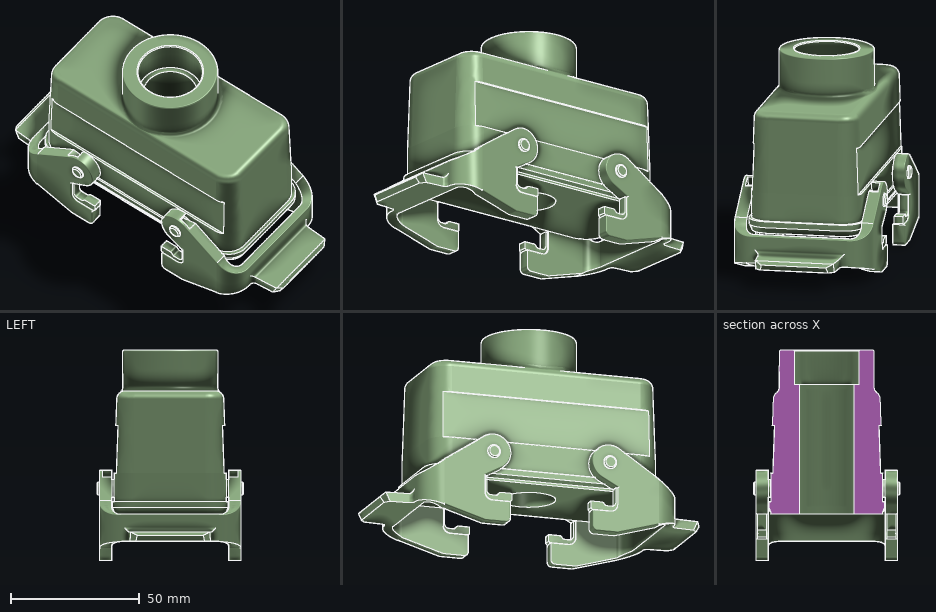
import cadquery as cq
import math

TOLERANCE = 0.07

BASE_Z = 18.0
FLANGE_EDGE_Z = 20.5
FLANGE_TOP_Z = 22.9
DRAFT_START_Z = 33.9
ROOF_Z = 65.8
NECK_TOP_Z = 81.7

BODY_LENGTH = 93.6
BODY_WIDTH = 43.6
CORNER_RADIUS = 8.1
DRAFT_ANGLE = 2.0
ROOF_FILLET = 3.3

FLANGE_LENGTH = 96.1
FLANGE_WIDTH = 45.0
FLANGE_BEVEL = 1.2

PANEL_TOP_Z = 52.4
PANEL_TOP_Y = 20.3

NECK_DIAMETER = 37.0
NECK_EDGE_FILLET = 0.7
NECK_ROOT_FILLET = 2.0
BORE_DIAMETER = 21.0
COUNTERBORE_DIAMETER = 25.0
COUNTERBORE_DEPTH = 13.4
COUNTERBORE_CHAMFER = 0.4

PIVOT_X = 23.8
PIVOT_Z = 28.0
PIN_DIAMETER = 5.1
PIN_CHAMFER = 0.5
PIN_END_Y = 28.47
PIN_BOSS_DIAMETER = 7.0

ARM_OUTER_Y = 27.5
ARM_INNER_Y = 22.6
BAR_OUTER_X = -53.0
BAR_INNER_X = -49.5
BAR_BOTTOM_Z = 7.5
BAR_TOP_Z = 18.0
BEND_RADIUS = 9.0
BEND_X = BAR_OUTER_X + BEND_RADIUS
BEND_Y = ARM_OUTER_Y - BEND_RADIUS
SLOPE_START = (-50.5, 19.0)
LOBE_RADIUS = 7.1
LEVER_EDGE_FILLET = 0.4

HOOK_TIP_X = -16.9
HOOK_HEEL_X = -27.2
HOOK_TOE_RADIUS = 1.8
HOOK_FLOOR_Z = 8.5
THROAT_X = -27.2
THROAT_TOP_Z = 18.2
THROAT_RADIUS = 3.0

RIB_INSET = 0.7
RIB_WALL_X = -26.5
RIB_SADDLE_Z = 10.6
RIB_SADDLE_START_X = -24.7
RIB_SADDLE_END_X = -22.8
RIB_NOSE_START_X = -20.7
RIB_NOSE_TIP_X = -16.2
RIB_NOSE_TOP_Z = 11.9
RIB_NOSE_BOTTOM_Z = 9.2

NOTCH_START_X = -29.8
NOTCH_END_X = -25.1
NOTCH_START_Z = 32.5
NOTCH_ROOT_X = -23.8
NOTCH_ROOT_Z = 31.4
NOTCH_OUTER_Y = 26.2

GRIP_END_X = -65.5
GRIP_TOP_Z = 11.1
GRIP_NOSE_Z = 9.8
GRIP_BEVEL = 1.5
GRIP_ROOT_HALF_WIDTH = 16.2
GRIP_END_HALF_WIDTH = 15.3
GRIP_ROOT_FILLET = 1.8
GRIP_CORNER_LENGTH = 3.0
GRIP_CORNER_WIDTH = 2.0


def rounded_block(length, width, radius, bottom_z, height, taper=0.0):
    """Upright block with rounded corners, leaning inwards by the taper angle."""
    outline = cq.Sketch().rect(length, width).vertices().fillet(radius)
    return cq.Workplane("XY", origin=(0, 0, bottom_z)).placeSketch(outline).extrude(height, taper=taper)


def hood_flange():
    """Flange around the foot of the hood, its lower part leaning inwards."""
    band = rounded_block(
        FLANGE_LENGTH, FLANGE_WIDTH, CORNER_RADIUS, FLANGE_EDGE_Z, FLANGE_TOP_Z - FLANGE_EDGE_Z
    )
    skirt_height = FLANGE_EDGE_Z - BASE_Z
    skirt_angle = math.degrees(math.atan2(FLANGE_BEVEL, skirt_height))
    skirt = rounded_block(
        FLANGE_LENGTH, FLANGE_WIDTH, CORNER_RADIUS, FLANGE_EDGE_Z, -skirt_height, skirt_angle
    )
    return band.union(skirt)


def hood_shell():
    """Hood walls and roof, with a rounded roof edge."""
    walls = rounded_block(BODY_LENGTH, BODY_WIDTH, CORNER_RADIUS, BASE_Z, DRAFT_START_Z - BASE_Z)
    upper = rounded_block(
        BODY_LENGTH, BODY_WIDTH, CORNER_RADIUS, DRAFT_START_Z, ROOF_Z - DRAFT_START_Z, DRAFT_ANGLE
    )
    upper = upper.faces(">Z").edges().fillet(ROOF_FILLET)
    return walls.union(upper)


def neck():
    """Round neck, rooted inside the hood."""
    root_z = ROOF_Z - 2 * ROOF_FILLET
    post = cq.Workplane("XY", origin=(0, 0, root_z)).circle(NECK_DIAMETER / 2).extrude(NECK_TOP_Z - root_z)
    return post.faces(">Z").edges().fillet(NECK_EDGE_FILLET)


def neck_bore():
    """Through bore with a wider, lightly chamfered mouth."""
    bore = cq.Workplane("XY").circle(BORE_DIAMETER / 2).extrude(NECK_TOP_Z)
    mouth = cq.Workplane("XY", origin=(0, 0, NECK_TOP_Z)).circle(COUNTERBORE_DIAMETER / 2)
    mouth = mouth.extrude(-COUNTERBORE_DEPTH)
    flare = cq.Workplane("XY", origin=(0, 0, NECK_TOP_Z)).circle(COUNTERBORE_DIAMETER / 2 + COUNTERBORE_CHAMFER)
    flare = flare.extrude(-COUNTERBORE_CHAMFER, taper=45)
    return bore.union(mouth).union(flare)


def panel_cutter(side):
    """Block that cuts one long side of the hood back to a flat panel, drafted like the walls."""
    height = PANEL_TOP_Z - DRAFT_START_Z
    panel_bottom_y = PANEL_TOP_Y + height * math.tan(math.radians(DRAFT_ANGLE))
    cutter = (
        cq.Workplane("YZ")
        .polyline(
            [
                (panel_bottom_y, DRAFT_START_Z),
                (BODY_WIDTH, DRAFT_START_Z),
                (BODY_WIDTH, PANEL_TOP_Z),
                (PANEL_TOP_Y, PANEL_TOP_Z),
            ]
        )
        .close()
        .extrude(BODY_LENGTH / 2, both=True)
    )
    return cutter if side > 0 else cutter.mirror("XZ")


def trunnion(pivot_x, side):
    """Chamfered pin on a round boss, standing out of one long side of the hood."""
    root_y = PANEL_TOP_Y
    pin = cq.Workplane("XZ").circle(PIN_DIAMETER / 2).extrude(-(PIN_END_Y - root_y))
    pin = pin.faces(">Y").chamfer(PIN_CHAMFER)
    boss = cq.Workplane("XZ").circle(PIN_BOSS_DIAMETER / 2).extrude(-(ARM_INNER_Y - root_y))
    placed = pin.union(boss).translate((pivot_x, root_y, PIVOT_Z))
    return placed if side > 0 else placed.mirror("XZ")


def make_housing():
    """Hood with its flange, bored neck, side panels and four trunnion pins."""
    housing = hood_shell().union(hood_flange()).union(neck())
    reach = NECK_DIAMETER / 2 + TOLERANCE
    neck_root = cq.selectors.BoxSelector(
        (-reach, -reach, ROOF_Z - ROOF_FILLET), (reach, reach, ROOF_Z + TOLERANCE), boundingbox=True
    )
    housing = housing.edges(neck_root).fillet(NECK_ROOT_FILLET)
    housing = housing.cut(neck_bore())
    for side in (-1, 1):
        housing = housing.cut(panel_cutter(side))
        for pivot_x in (-PIVOT_X, PIVOT_X):
            housing = housing.union(trunnion(pivot_x, side))
    return housing


def lobe_tangent(point, turn):
    """Point where a line from `point` touches the lobe; turn is +1 for its upper side, -1 for its lower."""
    run = -PIVOT_X - point[0]
    rise = PIVOT_Z - point[1]
    distance = math.hypot(run, rise)
    reach = math.sqrt(distance**2 - LOBE_RADIUS**2)
    angle = math.atan2(rise, run) + turn * math.asin(LOBE_RADIUS / distance)
    return (point[0] + reach * math.cos(angle), point[1] + reach * math.sin(angle))


def extrude_across(outline, half_width):
    """Extrude an XZ outline symmetrically about the middle plane."""
    return outline.extrude(half_width, both=True)


def line_height(start, end, x):
    """Height at `x` of the straight line through two XZ points."""
    return start[1] + (end[1] - start[1]) * (x - start[0]) / (end[0] - start[0])


def upper_edge(x):
    """Height of the arm's upper slope."""
    return line_height(SLOPE_START, lobe_tangent(SLOPE_START, 1), x)


def lower_edge(x):
    """Height of the arm's lower slope."""
    return line_height((BAR_OUTER_X, BAR_BOTTOM_Z), (HOOK_HEEL_X, 0), x)


def lever_arm(side):
    """Flat arm with the pivot lobe at its top and the hook at its foot."""
    throat_top = (THROAT_X, THROAT_TOP_Z)
    arm = (
        cq.Workplane("XZ")
        .moveTo(BEND_X, lower_edge(BEND_X))
        .lineTo(HOOK_HEEL_X, 0)
        .lineTo(HOOK_TIP_X - HOOK_TOE_RADIUS, 0)
        .radiusArc((HOOK_TIP_X, HOOK_TOE_RADIUS), -HOOK_TOE_RADIUS)
        .lineTo(HOOK_TIP_X, HOOK_FLOOR_Z)
        .lineTo(THROAT_X + THROAT_RADIUS, HOOK_FLOOR_Z)
        .radiusArc((THROAT_X, HOOK_FLOOR_Z + THROAT_RADIUS), THROAT_RADIUS)
        .lineTo(*throat_top)
        .lineTo(*lobe_tangent(throat_top, -1))
        .threePointArc((LOBE_RADIUS - PIVOT_X, PIVOT_Z), lobe_tangent(SLOPE_START, 1))
        .lineTo(BEND_X, upper_edge(BEND_X))
        .close()
        .extrude(ARM_INNER_Y - ARM_OUTER_Y)
        .translate((0, ARM_INNER_Y, 0))
    )
    return arm if side > 0 else arm.mirror("XZ")


def bend_section(angle, inner_radius, bottom_z, top_z):
    """Upright rectangle across the bend; angle 0 is at the arm and 90 at the bar."""
    turn = math.radians(angle)
    outward = cq.Vector(-math.sin(turn), math.cos(turn), 0)
    origin = cq.Vector(BEND_X, BEND_Y, 0)
    inner = origin + outward * inner_radius
    outer = origin + outward * BEND_RADIUS
    rise = cq.Vector(0, 0, 1)
    return cq.Wire.makePolygon(
        [inner + rise * bottom_z, outer + rise * bottom_z, outer + rise * top_z, inner + rise * top_z],
        close=True,
    )


def lever_bend(side):
    """Quarter bend from arm to bar, losing height and thickness on the way."""
    arm_radius = ARM_INNER_Y - BEND_Y
    bar_radius = BEND_X - BAR_INNER_X
    middle_x = BEND_X - BEND_RADIUS * math.sin(math.pi / 4)
    sections = [
        bend_section(0, arm_radius, lower_edge(BEND_X), upper_edge(BEND_X)),
        bend_section(45, (arm_radius + bar_radius) / 2, lower_edge(middle_x), upper_edge(middle_x)),
        bend_section(90, bar_radius, BAR_BOTTOM_Z, BAR_TOP_Z),
    ]
    path = cq.Workplane("XY").moveTo(BEND_X, ARM_OUTER_Y).radiusArc((BAR_OUTER_X, BEND_Y), -BEND_RADIUS)
    bend = cq.Workplane(cq.Solid.sweep_multi(sections, path.val()))
    return bend if side > 0 else bend.mirror("XZ")


def lever_bar():
    """Cross bar between the two bends."""
    return cq.Workplane("XY", origin=(BAR_OUTER_X, 0, BAR_BOTTOM_Z)).box(
        BAR_INNER_X - BAR_OUTER_X, 2 * BEND_Y, BAR_TOP_Z - BAR_BOTTOM_Z, centered=(False, True, False)
    )


def hook_rib(side):
    """Rib that lines the throat of one hook and rises to a nose over its tip."""
    saddle_radius = RIB_SADDLE_START_X - RIB_WALL_X
    outline = (
        cq.Workplane("XZ")
        .moveTo(THROAT_X - THROAT_RADIUS, HOOK_FLOOR_Z - THROAT_RADIUS)
        .lineTo(HOOK_TIP_X - HOOK_TOE_RADIUS, HOOK_FLOOR_Z - THROAT_RADIUS)
        .lineTo(HOOK_TIP_X, HOOK_FLOOR_Z)
        .lineTo(RIB_NOSE_TIP_X, RIB_NOSE_BOTTOM_Z)
        .lineTo(RIB_NOSE_TIP_X, RIB_NOSE_TOP_Z)
        .lineTo(RIB_NOSE_START_X, RIB_NOSE_TOP_Z)
        .spline(
            [(RIB_SADDLE_END_X, RIB_SADDLE_Z)], tangents=[(-1, 0), (-1, 0)], includeCurrent=True
        )
        .lineTo(RIB_SADDLE_START_X, RIB_SADDLE_Z)
        .radiusArc((RIB_WALL_X, RIB_SADDLE_Z + saddle_radius), saddle_radius)
        .lineTo(RIB_WALL_X, THROAT_TOP_Z)
        .lineTo(THROAT_X - THROAT_RADIUS, THROAT_TOP_Z)
        .close()
    )
    thickness = ARM_OUTER_Y - ARM_INNER_Y - 2 * RIB_INSET
    rib = outline.extrude(-thickness).translate((0, ARM_INNER_Y + RIB_INSET, 0))
    return rib if side > 0 else rib.mirror("XZ")


def lobe_notch(side):
    """Slightly undercut notch in the top of one lobe, open to the inner side of the arm."""
    above_z = PIVOT_Z + 2 * LOBE_RADIUS
    notch = (
        cq.Workplane("XZ")
        .polyline(
            [
                (NOTCH_START_X, NOTCH_START_Z),
                (NOTCH_ROOT_X, NOTCH_ROOT_Z),
                (NOTCH_END_X, PIVOT_Z + LOBE_RADIUS),
                (NOTCH_END_X, above_z),
                (NOTCH_START_X, above_z),
            ]
        )
        .close()
        .extrude(ARM_INNER_Y - NOTCH_OUTER_Y)
        .translate((0, ARM_INNER_Y, 0))
    )
    return notch if side > 0 else notch.mirror("XZ")


def grip_corner_cutter():
    """Block whose inner face bevels the grip's end corner, from nothing at the top to full size below."""
    top = cq.Vector(GRIP_END_X + GRIP_BEVEL, GRIP_END_HALF_WIDTH, GRIP_TOP_Z)
    on_side = cq.Vector(GRIP_END_X + GRIP_CORNER_LENGTH, GRIP_END_HALF_WIDTH, BAR_BOTTOM_Z)
    on_end = cq.Vector(GRIP_END_X + GRIP_BEVEL, GRIP_END_HALF_WIDTH - GRIP_CORNER_WIDTH, BAR_BOTTOM_Z)
    normal = (on_side - top).cross(on_end - top)
    reach = 4 * GRIP_CORNER_LENGTH
    bevel = cq.Plane(origin=top, xDir=on_side - on_end, normal=normal)
    return cq.Workplane(bevel).rect(reach, reach).extrude(reach)


def thumb_grip():
    """Flat tongue reaching out from the bar, with a bevelled nose and bevelled end corners."""
    plan = (
        cq.Workplane("XY")
        .moveTo(BAR_INNER_X, -GRIP_ROOT_HALF_WIDTH)
        .lineTo(BAR_OUTER_X, -GRIP_ROOT_HALF_WIDTH)
        .lineTo(GRIP_END_X, -GRIP_END_HALF_WIDTH)
        .lineTo(GRIP_END_X, GRIP_END_HALF_WIDTH)
        .lineTo(BAR_OUTER_X, GRIP_ROOT_HALF_WIDTH)
        .lineTo(BAR_INNER_X, GRIP_ROOT_HALF_WIDTH)
        .close()
        .extrude(GRIP_TOP_Z)
    )
    side_outline = (
        cq.Workplane("XZ")
        .moveTo(BAR_INNER_X, BAR_BOTTOM_Z)
        .lineTo(GRIP_END_X + GRIP_BEVEL, BAR_BOTTOM_Z)
        .lineTo(GRIP_END_X, GRIP_NOSE_Z)
        .lineTo(GRIP_END_X + GRIP_BEVEL, GRIP_TOP_Z)
        .lineTo(BAR_INNER_X, GRIP_TOP_Z)
        .close()
    )
    grip = plan.intersect(extrude_across(side_outline, ARM_OUTER_Y))
    corner = grip_corner_cutter()
    return grip.cut(corner).cut(corner.mirror("XZ"))


def is_rounded_edge(edge):
    """True for the lever's outer edges that are rounded.

    They run around each arm's outer face, except at the hook's floor, and along the top of the bends and bar.
    """
    middle = edge.positionAt(0.5)
    if middle.x > BEND_X + TOLERANCE:
        return abs(middle.y) > ARM_OUTER_Y - TOLERANCE and abs(middle.z - HOOK_FLOOR_Z) > TOLERANCE
    beyond_bar = max(abs(middle.y) - BEND_Y, 0)
    is_outside = math.hypot(middle.x - BEND_X, beyond_bar) > BEND_RADIUS - TOLERANCE
    return is_outside and middle.z > BAR_TOP_Z - TOLERANCE


def make_lever():
    """Locking lever at -X: two hooked arms, bends, bar and thumb grip."""
    lever = lever_bar()
    for side in (-1, 1):
        lever = lever.union(lever_bend(side)).union(lever_arm(side))
    rounded_edges = [edge for edge in lever.edges().vals() if is_rounded_edge(edge)]
    lever = lever.newObject(rounded_edges).fillet(LEVER_EDGE_FILLET)
    lever = lever.union(thumb_grip())
    grip_root = cq.selectors.BoxSelector(
        (BAR_OUTER_X - TOLERANCE, TOLERANCE - BEND_Y, BAR_BOTTOM_Z + TOLERANCE),
        (BAR_OUTER_X + TOLERANCE, BEND_Y - TOLERANCE, GRIP_TOP_Z + TOLERANCE),
    )
    lever = lever.edges(grip_root).fillet(GRIP_ROOT_FILLET)
    for side in (-1, 1):
        lever = lever.union(hook_rib(side)).cut(lobe_notch(side))
    pin_hole = cq.Workplane("XZ", origin=(-PIVOT_X, 0, PIVOT_Z)).circle(PIN_DIAMETER / 2)
    return lever.cut(extrude_across(pin_hole, ARM_OUTER_Y))


housing = make_housing()
lever = make_lever()
levers = [lever, lever.mirror("YZ")]

result = cq.Compound.makeCompound([housing.val(), *[each.val() for each in levers]])